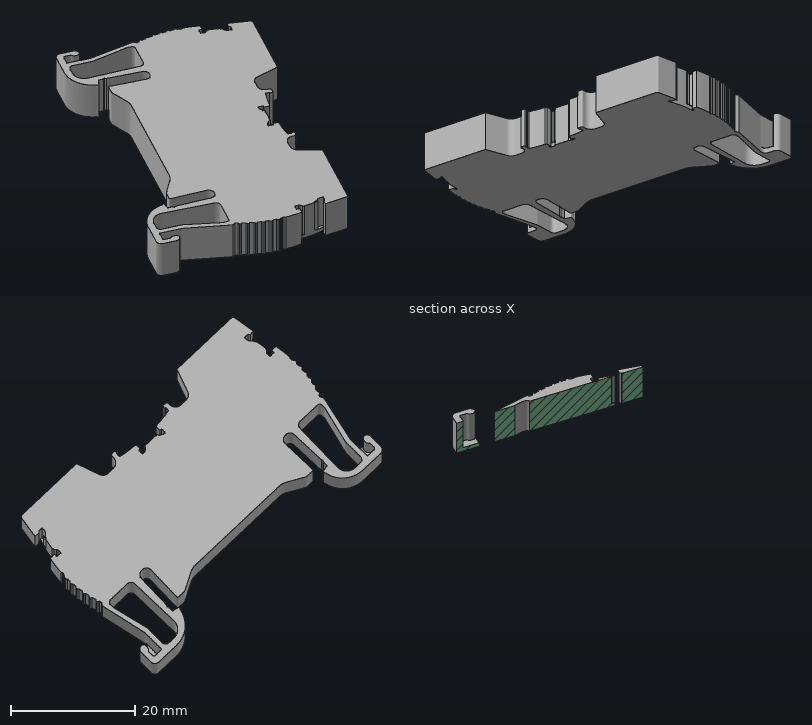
import cadquery as cq
import math

width = 52.0
height = 33.0
thickness = 6.6
half_width = width / 2

hook_floor = 0.9
notch_floor = 0.75

ridge_count = 6
ridge_pitch = 1.25
ridge_height = 0.2
ridge_tip = 0.25
ridge_base = 0.7
ridge_root = 0.5
top_ridge_y = 20.55
side_radius = 20.8
side_x = half_width - ridge_height
groove_depth = 0.15

shoulder_x = 23.9
lip_x = 24.55
upper_lip_y = 28.95
upper_notch_y = 29.15
lower_lip_y = 24.65
lower_notch_y = 24.1

valley_top_x = 11.3
valley_y = 28.3
valley_radius = 1.25
prong_outer_x = 6.35
prong_inner_x = 5.5
prong_tip_x = 5.35
prong_y = 30.2
ledge_y = 28.65
gap_x = 2.2
gap_notch_x = 2.55
gap_notch_y = 27.55
gap_floor_y = 27.25
gap_pad_y = 27.45
gap_pad_x = 1.35

hook_x = 25.85
hook_y = 4.0
leg_top_y = 13.05
leg_top_x = 24.9
leg_bend_y = 5.1
leg_x = 23.15
foot_wall = 1.2
window_y = 12.9
hook_radius = 0.9
hook_fillet = 0.8
nose_start_x = 21.0
nose_radius = 4.8
nose_mid_angle = math.radians(40)
nose_end_angle = math.radians(78)

slot_outer_x = 17.15
slot_inner_x = 15.1
slot_radius = 0.95
body_corner_x = 15.3
body_corner_y = 5.55
belly_y = 7.5
belly_x = 10.15
belly_radius = 2.75

VIA = "via"


def side_face_x(y):
    """X of the bulging side face at height y."""
    return side_x - side_radius + math.sqrt(side_radius**2 - (y - top_ridge_y) ** 2)


def nose_point(angle):
    """Point on the nose arc, `angle` round from its flat start."""
    x = nose_start_x - nose_radius * math.sin(angle)
    y = nose_radius - nose_radius * math.cos(angle)
    return x, y


def rounded_corner(before, corner, after, radius):
    """Start, middle and end of the arc that rounds a corner."""
    here = cq.Vector(*corner)
    back = (cq.Vector(*before) - here).normalized()
    ahead = (cq.Vector(*after) - here).normalized()
    half_angle = back.getAngle(ahead) / 2
    setback = radius / math.tan(half_angle)
    bisector = (back + ahead).normalized()
    middle = here + bisector * (radius / math.sin(half_angle) - radius)
    return here + back * setback, middle, here + ahead * setback


def prism(outline, bottom=0.0):
    """Extrude an outline from `bottom` to the top face.

    Each item is a corner (x, y), a rounded corner (x, y, radius),
    or (VIA, x, y), a point on the arc joining the corners around it.
    """
    path = cq.Workplane("XY").workplane(offset=bottom).moveTo(*outline[0])
    arc_middle = None
    for i, item in enumerate(outline[1:], start=1):
        if item[0] == VIA:
            arc_middle = item[1:]
        elif arc_middle:
            path = path.threePointArc(arc_middle, item)
            arc_middle = None
        elif len(item) == 3:
            following = outline[(i + 1) % len(outline)]
            start, middle, end = rounded_corner(outline[i - 1][:2], item[:2], following[:2], item[2])
            path = path.lineTo(start.x, start.y).threePointArc((middle.x, middle.y), (end.x, end.y))
        else:
            path = path.lineTo(*item)
    return path.close().extrude(thickness - bottom)


def half_body():
    """One half of the plate with its foot, full thickness."""
    top = [
        (0, gap_pad_y),
        (gap_pad_x, gap_pad_y),
        (1.55, gap_floor_y),
        (gap_notch_x, gap_floor_y),
        (gap_notch_x, gap_notch_y),
        (gap_x, gap_notch_y),
        (gap_x, 28.5),
        (gap_notch_x, ledge_y),
        (VIA, 4.15, 28.75),
        (prong_inner_x, 29.0),
        (prong_inner_x, 29.65),
        (prong_tip_x, 29.65),
        (prong_tip_x, prong_y),
        (prong_outer_x, prong_y, 0.3),
        (prong_outer_x, valley_y, valley_radius),
        (9.6, valley_y, valley_radius),
        (valley_top_x, height),
    ]
    bulge_y = 21.55
    ridges_end_y = 13.55
    side = [
        (shoulder_x, height, 0.45),
        (lip_x, 29.1),
        (lip_x, upper_lip_y),
        (23.75, 28.85),
        (23.5, upper_notch_y),
        (23.15, upper_notch_y),
        (VIA, 23.8, 26.75),
        (24.1, lower_notch_y),
        (24.4, lower_notch_y),
        (24.4, lower_lip_y, 0.15),
        (side_face_x(lower_lip_y), lower_lip_y),
        (VIA, side_face_x(bulge_y), bulge_y),
        (side_face_x(ridges_end_y), ridges_end_y),
    ]
    foot = [
        (leg_top_x, leg_top_y),
        (leg_x, leg_bend_y),
        (leg_x, hook_y, hook_fillet),
        (hook_x, hook_y, hook_radius),
        (hook_x, 0, hook_radius),
        (nose_start_x, 0),
        (VIA, *nose_point(nose_mid_angle)),
        nose_point(nose_end_angle),
        (16.1, 4.3, 0.15),
        (17.35, 4.6),
        (17.35, 5.45),
        (17.5, 5.65),
        (17.35, 5.95),
    ]
    underside = [
        (slot_outer_x, window_y, slot_radius),
        (slot_inner_x, window_y, slot_radius),
        (body_corner_x, body_corner_y, 0.2),
        (13.7, body_corner_y, 0.5),
        (belly_x, belly_y, belly_radius),
        (0, belly_y),
    ]
    return prism(top + side + foot + underside)


def ridge(y):
    """One tapered ridge across the side face, rooted inside the body."""
    face_x = side_face_x(y)
    tip_x = face_x + ridge_height
    root_x = face_x - ridge_root
    return prism(
        [
            (root_x, y - ridge_base / 2),
            (face_x, y - ridge_base / 2),
            (tip_x, y - ridge_tip / 2),
            (tip_x, y + ridge_tip / 2),
            (face_x, y + ridge_base / 2),
            (root_x, y + ridge_base / 2),
        ]
    )


def groove():
    """Shallow groove that separates the ridges from the smooth face above them."""
    top_y = 21.85
    bottom_y = 21.0
    outer_x = side_face_x(bottom_y)
    return prism(
        [
            (outer_x, top_y),
            (outer_x - groove_depth, 21.55),
            (outer_x - groove_depth, 21.25),
            (outer_x, bottom_y),
        ]
    )


def foot_window():
    """Through opening between the outer leg and the spring leg."""
    return prism(
        [
            (21.85, window_y),
            (23.8, window_y, 0.5),
            (23.8, 11.7),
            (22.25, 5.35),
            (22.25, foot_wall, 0.7),
            (18.35, foot_wall, 2.0),
            (18.6, window_y, 0.85),
        ]
    )


def hook_recess():
    """Recess between the hook and the outer leg, down to the hook floor."""
    return prism(
        [
            (leg_x, hook_y + hook_fillet),
            (leg_x, foot_wall),
            (24.9, foot_wall, 0.25),
            (24.9, 2.45, 0.25),
            (24.55, 2.8, 0.25),
            (24.55, 3.65, 0.25),
            (24.95, hook_y),
            (24.95, hook_y + hook_fillet),
        ],
        hook_floor,
    )


def upper_side_notch():
    """Notch under the upper lip, down to the notch floor."""
    return prism(
        [
            (23.5, upper_notch_y),
            (22.8, upper_notch_y),
            (22.8, 28.75),
            (VIA, 22.85, 28.45),
            (23.0, 28.2),
            (VIA, 23.3, 27.85),
            (23.5, 27.45),
        ],
        notch_floor,
    )


def lower_side_notch():
    """Notch behind the lower lip, down to the notch floor."""
    return prism(
        [
            (24.4, lower_notch_y),
            (23.5, lower_notch_y),
            (23.5, 24.7),
            (23.6, 24.95),
            (23.9, 25.25),
            (24.0, 25.8),
            (24.4, 25.8),
        ],
        notch_floor,
    )


def gap_notch():
    """Undercut beside the raised pad in the middle gap."""
    return prism(
        [
            (gap_notch_x, gap_notch_y),
            (gap_notch_x, 26.75),
            (2.15, 26.75),
            (1.5, 27.1),
            (gap_pad_x, gap_pad_y),
        ],
        notch_floor,
    )


half = half_body()
for i in range(ridge_count):
    half = half.union(ridge(top_ridge_y - i * ridge_pitch))
cutters = [
    groove(),
    foot_window(),
    hook_recess(),
    upper_side_notch(),
    lower_side_notch(),
    gap_notch(),
]
for cutter in cutters:
    half = half.cut(cutter)

result = half.union(half.mirror("YZ"))